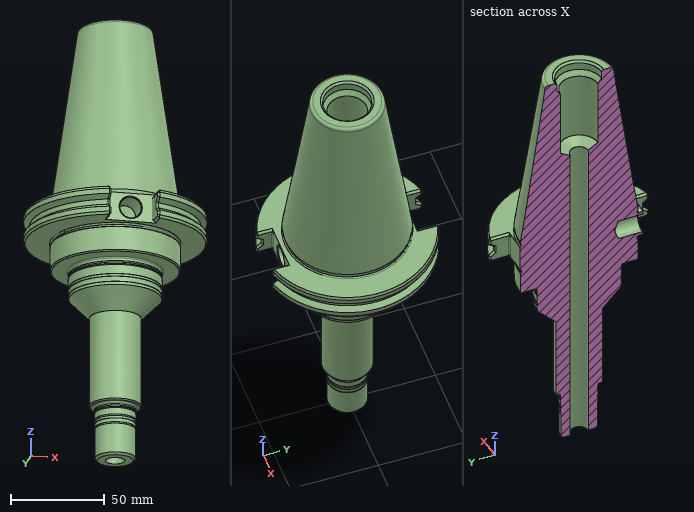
import cadquery as cq
import math


gauge_dia = 70.0
taper_length = 101.5
taper_slope = 7 / 24
taper_end_fillet = 2.0

flange_dia = 98.4
flange_top = -3.2
flange_bottom = -19.0
flange_middle = (flange_top + flange_bottom) / 2
flange_chamfer_radial = 0.7
flange_chamfer_axial = 1.5
groove_floor_dia = 92.3
groove_floor_width = 3.0
groove_mouth_width = 7.3

neck_dia = 68.5
neck_fillet = 1.0

slot_width = 25.3
slot_edge_chamfer = 1.2
slot_corner_fillet = 0.7
front_slot_floor = 37.7
back_slot_floor = 35.0

locating_hole_dia = 11.7
locating_hole_chamfer = 0.5
locating_hole_depth = 14.5
locating_hole_point_angle = 140

collar_top = -21.2
collar_bottom = -35.0
collar_chamfer = 0.7

ring_dia = 50.5
ring_relief_dia = 50.0
shoulder_fillet = 0.7
shoulder_bottom = -50.6
shoulder_reliefs = [
    (-37.3, -39.5, 0.7, 0.7),
    (-44.5, -46.0, 0, 0),
    (-49.0, shoulder_bottom, 0, 0),
]

shank_dia = 28.0
shank_bottom = -112.0
shank_chamfer = 0.7

tip_ring_dia = 22.5
tip_dia = 22.0
tip_bottom = taper_length - 243.5
tip_fillet = 0.7
tip_chamfer = 1.2
tip_reliefs = [
    (-113.5, -115.7, 0.7, 0.7),
    (-119.3, -121.5, 0.7, 0),
    (-123.7, tip_bottom, 0.7, 0),
]

pilot_dia = 26.3
pilot_chamfer = 1.2
pilot_depth = 5.5
draw_bar_dia = 22.0
draw_bar_top_depth = 8.5
draw_bar_depth = 48.7
drill_point_angle = 118
through_dia = 10.5


def turned(outline):
    """Solid of revolution about the tool axis from (radius, height) points."""
    return cq.Workplane("XZ").polyline(outline).close().revolve(360, (0, 0), (0, 1))


def cone(top_dia, top, bottom_dia, bottom):
    """Truncated cone on the tool axis."""
    return turned([(0, bottom), (bottom_dia / 2, bottom), (top_dia / 2, top), (0, top)])


def disc(diameter, top, bottom):
    """Cylinder on the tool axis between two heights."""
    return cone(diameter, top, diameter, bottom)


def root_fillet(diameter, face_height, radius, direction):
    """Concave ring blending a cylinder into a face; direction is +1 above the face, -1 below it."""
    inner = diameter / 2
    far_height = face_height + direction * radius
    bulge = radius * (1 - math.sqrt(0.5))
    return (
        cq.Workplane("XZ")
        .moveTo(inner, face_height)
        .lineTo(inner + radius, face_height)
        .threePointArc((inner + bulge, face_height + direction * bulge), (inner, far_height))
        .close()
        .revolve(360, (0, 0), (0, 1))
    )


def cut_reliefs(body, outer_dia, inner_dia, reliefs):
    """Turn shallow reliefs into a cylinder, leaving rings of full diameter between them."""
    for top, bottom, top_wall, bottom_wall in reliefs:
        outer = outer_dia / 2
        inner = inner_dia / 2
        cutter = turned(
            [
                (outer, top),
                (inner, top - top_wall),
                (inner, bottom + bottom_wall),
                (outer, bottom),
                (outer_dia, bottom),
                (outer_dia, top),
            ]
        )
        body = body.cut(cutter)
    return body


def drill_point_height(radius_change, angle):
    """Height of a conical drill point across a change of radius."""
    return radius_change / math.tan(math.radians(angle / 2))


def make_taper():
    end_dia = gauge_dia - taper_slope * taper_length
    taper = cone(end_dia, taper_length, gauge_dia, 0).faces(">Z").edges().fillet(taper_end_fillet)
    neck = cone(gauge_dia, 0, neck_dia, flange_top)
    return taper.union(neck).union(root_fillet(neck_dia, flange_top, neck_fillet, 1))


def make_slot(floor, side):
    """Drive slot cutter; side is -1 at the front and 1 at the back."""
    length = flange_dia / 2
    slot = cq.Workplane("XY").box(slot_width, length, flange_top - flange_bottom)
    return slot.translate((0, side * (floor + length / 2), flange_middle))


def make_flange():
    """Grooved disc with two drive slots, their walls chamfered where they open outward."""
    radius = flange_dia / 2
    floor_radius = groove_floor_dia / 2
    rim_radius = radius - flange_chamfer_radial
    flange = turned(
        [
            (0, flange_bottom),
            (rim_radius, flange_bottom),
            (radius, flange_bottom + flange_chamfer_axial),
            (radius, flange_middle - groove_mouth_width / 2),
            (floor_radius, flange_middle - groove_floor_width / 2),
            (floor_radius, flange_middle + groove_floor_width / 2),
            (radius, flange_middle + groove_mouth_width / 2),
            (radius, flange_top - flange_chamfer_axial),
            (rim_radius, flange_top),
            (0, flange_top),
        ]
    )
    for floor, side in [(front_slot_floor, -1), (back_slot_floor, 1)]:
        flange = flange.cut(make_slot(floor, side))
    wall_edges = flange.faces("|X").edges()
    rim_edges = wall_edges.filter(lambda edge: abs(edge.Center().y) > front_slot_floor + slot_corner_fillet)
    flange = rim_edges.chamfer(slot_edge_chamfer)
    slot_floors = flange.faces("|Y")
    return slot_floors.edges("|Z").fillet(slot_corner_fillet)


def make_locating_hole():
    """Cutter for the drilled hole, pointing into the part along +Y."""
    radius = locating_hole_dia / 2
    point = drill_point_height(radius, locating_hole_point_angle)
    outline = [
        (0, 0),
        (radius + locating_hole_chamfer, 0),
        (radius, locating_hole_chamfer),
        (radius, locating_hole_depth),
        (0, locating_hole_depth + point),
    ]
    drill = cq.Workplane("XY").polyline(outline).close().revolve(360, (0, 0), (0, 1))
    return drill.translate((0, -front_slot_floor, flange_middle))


def make_collar():
    neck = disc(neck_dia, flange_bottom, collar_top)
    collar = disc(gauge_dia, collar_top, collar_bottom).faces("<Z").edges().chamfer(collar_chamfer)
    return neck.union(collar).union(root_fillet(neck_dia, flange_bottom, neck_fillet, -1))


def make_shoulder():
    shoulder = disc(ring_dia, collar_bottom, shoulder_bottom)
    shoulder = cut_reliefs(shoulder, ring_dia, ring_relief_dia, shoulder_reliefs)
    cone_bottom = shoulder_bottom - (ring_relief_dia - shank_dia) / 2
    shoulder = shoulder.union(cone(ring_relief_dia, shoulder_bottom, shank_dia, cone_bottom))
    return shoulder.union(root_fillet(ring_dia, collar_bottom, shoulder_fillet, -1))


def make_shank():
    shank = disc(shank_dia, shoulder_bottom, shank_bottom)
    return shank.faces("<Z").edges().chamfer(shank_chamfer)


def make_tip():
    tip = disc(tip_ring_dia, shank_bottom, tip_bottom)
    tip = cut_reliefs(tip, tip_ring_dia, tip_dia, tip_reliefs)
    tip = tip.faces("<Z").edges().chamfer(tip_chamfer)
    return tip.union(root_fillet(tip_ring_dia, shank_bottom, tip_fillet, -1))


def make_bore():
    pilot_floor = taper_length - pilot_depth
    draw_bar_top = taper_length - draw_bar_top_depth
    draw_bar_floor = taper_length - draw_bar_depth
    point = drill_point_height((draw_bar_dia - through_dia) / 2, drill_point_angle)
    return (
        cone(pilot_dia + 2 * pilot_chamfer, taper_length, pilot_dia, taper_length - pilot_chamfer)
        .union(disc(pilot_dia, taper_length, pilot_floor))
        .union(cone(pilot_dia, pilot_floor, draw_bar_dia, draw_bar_top))
        .union(disc(draw_bar_dia, draw_bar_top, draw_bar_floor))
        .union(cone(draw_bar_dia, draw_bar_floor, through_dia, draw_bar_floor - point))
        .union(disc(through_dia, draw_bar_floor, tip_bottom))
    )


result = (
    make_taper()
    .union(make_flange())
    .union(make_collar())
    .union(make_shoulder())
    .union(make_shank())
    .union(make_tip())
    .cut(make_locating_hole())
    .cut(make_bore())
)